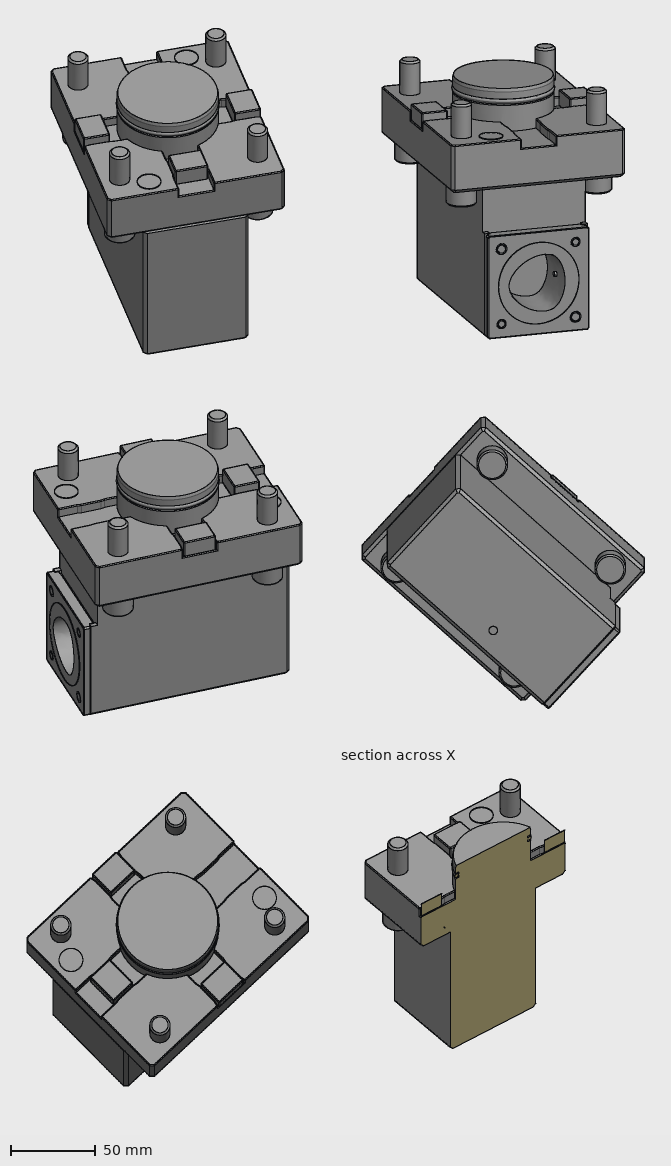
import cadquery as cq
import math

PLATE_X = 130.0
PLATE_Y = 108.0
PLATE_BOTTOM = -30.0
PLATE_CHAMFER = 2.0
EDGE_BREAK = 0.6
PAD_D = 14.0
PAD_H = 0.5
PLATE_TOP = -PAD_H
PAD_X = 54.0
PAD_Y = 26.0

SLOT_W = 21.4
SLOT_FLOOR = -6.2
SEAT_W = 20.4
SEAT_CENTRE = 44.2
SEAT_L = 12.4
SEAT_LEAD = 2.4
KEY_W = 20.0
KEY_L = 16.0
KEY_TOP = 4.2
KEY_BREAK = 0.6
X_KEY_CENTRE = 46.0

SPIGOT_D = 59.9
SPIGOT_TOP = 20.0
SPIGOT_CHAMFER_H = 2.0
SPIGOT_CHAMFER_W = 0.6
GROOVE_D = 55.2
GROOVE_W = 3.9
GROOVE_Z = 11.7
RING_D = 60.7
RING_OVERLAP = 0.1

SCREW_X = 46.9
SCREW_Y = 42.0
SCREW_D = 12.0
SCREW_CHAMFER = 1.2
HEAD_D = 18.0
HEAD_H = 12.0
HEAD_CHAMFER = 1.0

BLOCK_BOTTOM = -122.0
BLOCK_W = 64.0
BLOCK_BACK = PLATE_X / 2
NECK_FRONT = -56.0
STEP_FRONT = -60.0
STEP_Z = -58.0
STEP_POST_W = 3.2
RELIEF_W = 1.5
RELIEF_DEPTH = 2.0
BLOCK_CHAMFER = 2.0
PLUG_D = 5.0
PLUG_H = 0.54
PLUG_X = -8.4
PLUG_Y = -18.0

BORE_Z = (STEP_Z + BLOCK_BOTTOM) / 2
FLANGE_W = 63.0
FLANGE_FRONT = -64.5
FLANGE_CHAMFER = 1.0
FLANGE_EDGE_BREAK = 0.5
FACE_D = 50.0
FACE_FRONT = -PLATE_X / 2
FLANGE_HOLE_PITCH = 46.0
FLANGE_HOLE_DEPTH = 3.0
LARGE_HOLE_D = 6.6
SMALL_HOLE_D = 5.6
HOLE_CORE_GAP = 0.8

SOCKET_R = 17.4
SOCKET_LOBE = 1.15
SOCKET_DEPTH = 30.0
SOCKET_SHRINK = 0.75
SOCKET_POINTS = 48
DETENT_D = 3.0
DETENT_PROUD = 1.8
DETENT_L = 4.0

TOLERANCE = 1e-3


def box(x0, x1, y0, y1, z0, z1):
    """Axis-aligned box between two opposite corners."""
    return cq.Workplane("XY").box(x1 - x0, y1 - y0, z1 - z0, centered=False).translate((x0, y0, z0))


def cylinder(diameter, z0, z1, x=0.0, y=0.0):
    """Vertical cylinder between two heights."""
    return cq.Workplane("XY", origin=(x, y, z0)).circle(diameter / 2).extrude(z1 - z0)


def face_plane(x, y=0.0, z=BORE_Z):
    """Workplane facing +X; its local axes are Y and Z."""
    return cq.Workplane("YZ", origin=(x, y, z))


def corners(x, y):
    return [(sx * x, sy * y) for sx in (-1, 1) for sy in (-1, 1)]


def slot_cutter():
    """One full-length slot along X, narrowed by lead-in ramps at its two key seats."""
    cutter = box(-PLATE_X, PLATE_X, -SLOT_W / 2, SLOT_W / 2, SLOT_FLOOR, 0)
    seat_shoulder = (
        cq.Workplane("XY", origin=(0, 0, SLOT_FLOOR))
        .moveTo(-SEAT_L / 2 - SEAT_LEAD, SLOT_W / 2)
        .lineTo(-SEAT_L / 2, SEAT_W / 2)
        .lineTo(SEAT_L / 2, SEAT_W / 2)
        .lineTo(SEAT_L / 2 + SEAT_LEAD, SLOT_W / 2)
        .close()
        .extrude(-SLOT_FLOOR)
    )
    for end in (-1, 1):
        shoulder = seat_shoulder.translate((end * SEAT_CENTRE, 0, 0))
        cutter = cutter.cut(shoulder).cut(shoulder.mirror("XZ"))
    return cutter


def is_slot_mouth(edge):
    """True for the edges where a slot floor or wall meets the outside of the plate."""
    centre = edge.Center()
    on_x_side = abs(abs(centre.x) - PLATE_X / 2) < TOLERANCE and abs(centre.y) < SLOT_W
    on_y_side = abs(abs(centre.y) - PLATE_Y / 2) < TOLERANCE and abs(centre.x) < SLOT_W
    return (on_x_side or on_y_side) and PLATE_TOP - TOLERANCE > centre.z > PLATE_BOTTOM / 2


def make_plate():
    plate = box(-PLATE_X / 2, PLATE_X / 2, -PLATE_Y / 2, PLATE_Y / 2, PLATE_BOTTOM, PLATE_TOP)
    plate = plate.edges("|Z").chamfer(PLATE_CHAMFER)
    plate = plate.faces("<Z").edges().chamfer(PLATE_CHAMFER)
    plate = plate.cut(slot_cutter())
    plate = plate.cut(slot_cutter().rotate((0, 0, 0), (0, 0, 1), 90))
    rim = plate.faces(">Z").edges().vals()
    mouths = [edge for edge in plate.edges().vals() if is_slot_mouth(edge)]
    plate = plate.newObject(rim + mouths).chamfer(EDGE_BREAK)
    for side in (-1, 1):
        plate = plate.union(cylinder(PAD_D, PLATE_TOP - PAD_H, 0, side * PAD_X, -side * PAD_Y))
    return plate


def make_keys():
    key = box(-KEY_L / 2, KEY_L / 2, -KEY_W / 2, KEY_W / 2, SLOT_FLOOR, KEY_TOP)
    key = key.edges().chamfer(KEY_BREAK)
    keys = key.translate((X_KEY_CENTRE, 0, 0))
    y_key_centre = (PLATE_Y - KEY_L) / 2
    for side in (-1, 1):
        keys = keys.union(key.rotate((0, 0, 0), (0, 0, 1), 90).translate((0, side * y_key_centre, 0)))
    return keys


def make_spigot():
    radius = SPIGOT_D / 2
    shoulder = SPIGOT_TOP - SPIGOT_CHAMFER_H
    spigot = (
        cq.Workplane("XZ")
        .moveTo(0, PLATE_BOTTOM / 2)
        .lineTo(radius, PLATE_BOTTOM / 2)
        .lineTo(radius, GROOVE_Z - GROOVE_W / 2)
        .lineTo(GROOVE_D / 2, GROOVE_Z - GROOVE_W / 2)
        .lineTo(GROOVE_D / 2, GROOVE_Z + GROOVE_W / 2)
        .lineTo(radius, GROOVE_Z + GROOVE_W / 2)
        .lineTo(radius, shoulder)
        .lineTo(radius - SPIGOT_CHAMFER_W, SPIGOT_TOP)
        .lineTo(0, SPIGOT_TOP)
        .close()
        .revolve(360, (0, 0, 0), (0, 1, 0))
    )
    ring_section_r = (RING_D - GROOVE_D) / 4 + RING_OVERLAP / 2
    ring_centre = RING_D / 2 - ring_section_r
    ring = (
        cq.Workplane("XZ")
        .center(ring_centre, GROOVE_Z)
        .circle(ring_section_r)
        .revolve(360, (-ring_centre, 0, 0), (-ring_centre, 1, 0))
    )
    return spigot.union(ring)


def make_screw(x, y):
    shank = cylinder(SCREW_D, PLATE_BOTTOM, SPIGOT_TOP, x, y).faces(">Z").chamfer(SCREW_CHAMFER)
    head = cylinder(HEAD_D, PLATE_BOTTOM - HEAD_H, PLATE_BOTTOM, x, y).faces("<Z").chamfer(HEAD_CHAMFER)
    return shank.union(head)


def make_block():
    half = BLOCK_W / 2
    block = box(STEP_FRONT, BLOCK_BACK, -half, half, BLOCK_BOTTOM, PLATE_BOTTOM)
    block = block.faces(">X").edges("|Z").chamfer(BLOCK_CHAMFER)
    block = block.faces("<Z").edges("not(<X)").chamfer(BLOCK_CHAMFER)
    block = block.cut(box(STEP_FRONT, NECK_FRONT, -half, half, STEP_Z, PLATE_BOTTOM))
    flange_top = BORE_Z + FLANGE_W / 2
    inner = half - STEP_POST_W
    block = block.cut(box(STEP_FRONT, NECK_FRONT, -inner, inner, flange_top, STEP_Z))
    relief_front = NECK_FRONT - RELIEF_W
    block = block.cut(box(relief_front, NECK_FRONT, -inner, inner, STEP_Z - RELIEF_DEPTH, STEP_Z))
    plug = cylinder(PLUG_D, BLOCK_BOTTOM - PLUG_H, BLOCK_BOTTOM + PLUG_H, PLUG_X, PLUG_Y)
    return block.union(plug)


def make_flange():
    flange = face_plane(FLANGE_FRONT).rect(FLANGE_W, FLANGE_W).extrude(STEP_FRONT - FLANGE_FRONT)
    flange = flange.edges("|X").chamfer(FLANGE_CHAMFER)
    flange = flange.faces("<X").edges().chamfer(FLANGE_EDGE_BREAK)
    flange = flange.faces(">X").edges("not >Z").chamfer(FLANGE_EDGE_BREAK)
    face = face_plane(FACE_FRONT).circle(FACE_D / 2).extrude(FLANGE_FRONT - FACE_FRONT)
    return flange.union(face)


def flange_hole_cutter():
    """Ring-shaped recesses around the flange screws, large and small on alternate diagonals."""
    cutter = cq.Workplane("YZ")
    for y, z in corners(FLANGE_HOLE_PITCH / 2, FLANGE_HOLE_PITCH / 2):
        outer = LARGE_HOLE_D if y * z > 0 else SMALL_HOLE_D
        ring = (
            face_plane(FLANGE_FRONT, y, BORE_Z + z)
            .circle(outer / 2)
            .circle(outer / 2 - HOLE_CORE_GAP)
            .extrude(FLANGE_HOLE_DEPTH)
        )
        cutter = cutter.add(ring)
    return cutter.combine()


def lobed_outline(radius):
    """Closed outline of constant width with three lobes, one pointing to +Y."""
    points = []
    for i in range(SOCKET_POINTS):
        angle = 2 * math.pi * i / SOCKET_POINTS
        support = radius + SOCKET_LOBE * math.cos(3 * angle)
        slope = -3 * SOCKET_LOBE * math.sin(3 * angle)
        points.append((
            support * math.cos(angle) - slope * math.sin(angle),
            support * math.sin(angle) + slope * math.cos(angle),
        ))
    return points


def socket_cutter():
    return (
        face_plane(FACE_FRONT)
        .spline(lobed_outline(SOCKET_R), periodic=True)
        .close()
        .workplane(offset=SOCKET_DEPTH)
        .spline(lobed_outline(SOCKET_R - SOCKET_SHRINK), periodic=True)
        .close()
        .loft(ruled=True)
    )


def make_detent():
    """Round pin standing out of the socket wall on its -Y side, halfway down."""
    tip_y = SOCKET_LOBE - SOCKET_R + DETENT_PROUD
    pin = cq.Workplane("XZ", origin=(FACE_FRONT + SOCKET_DEPTH / 2, tip_y, BORE_Z))
    return pin.circle(DETENT_D / 2).extrude(DETENT_L)


body = make_plate().union(make_block())
body = body.union(make_keys())
body = body.union(make_spigot())
for screw_x, screw_y in corners(SCREW_X, SCREW_Y):
    body = body.union(make_screw(screw_x, screw_y))
body = body.union(make_flange())
body = body.cut(flange_hole_cutter())
body = body.cut(socket_cutter())
result = body.union(make_detent())